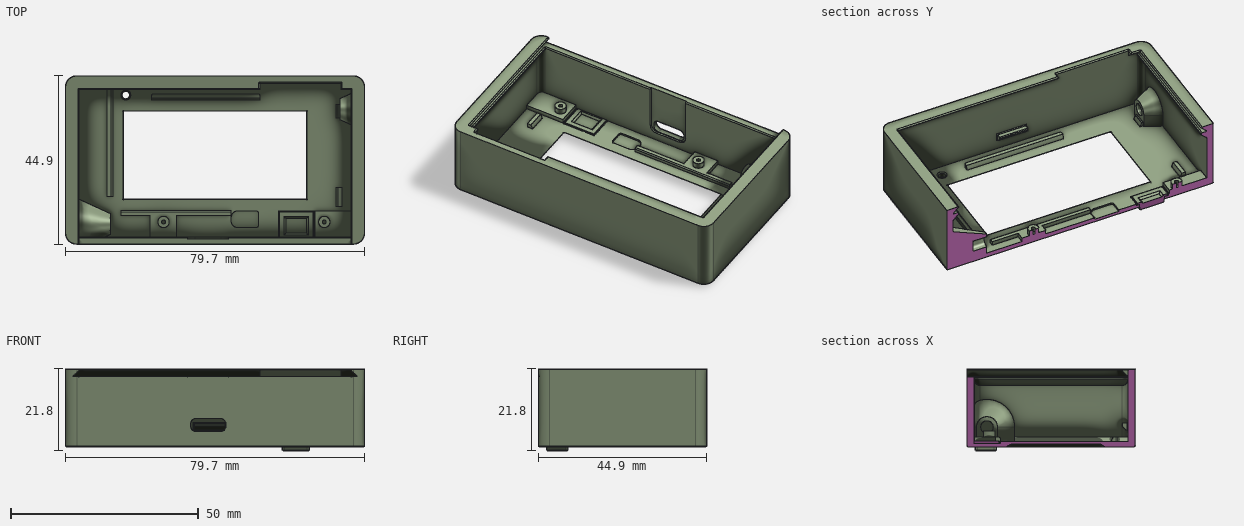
import cadquery as cq
length = 79.7
width = 44.9
height = 20.8
outer_radius = 3.0
wall = 2.0
floor = 1.5
cavity_radius = 1.5
edge_chamfer = 0.3
bevel_angle = 45

cavity_x = length / 2 - wall
cavity_y = width / 2 - wall

window_x = 48.8
window_y = 23.45
window_center_y = 1.3

dovetail_height = 1.7
slot_floor_z = height - edge_chamfer - dovetail_height
lip_x = cavity_x - dovetail_height
lip_y = cavity_y - dovetail_height
notch_x_min = 11.95
notch_x_max = 33.6
rail_edge_height = 0.7

port_x = -1.8
port_z = 5.9
port_length = 9.3
port_height = 3.6
port_radius = 1.5
port_recess_length = 10.9
port_recess_height = 4.0
port_recess_depth = 0.55

catch_x_min = -5.7
catch_x_max = 2.9
catch_top_z = 6.4
catch_depth = 1.6
catch_edge_height = 0.5
catch_bottom_z = 4.6
catch_chamfer = 0.2

rib_height = 1.2
rib_width = 1.6
rib_slope = 0.52
frame_left = -27.2
frame_right = 32.3
frame_back = 16.0
frame_front = -13.5
rib_end_radius = 0.5
back_rib_x_min = -16.9
back_rib_x_max = 11.95
front_rib_x_min = -25.1
front_rib_x_max = 4.2
front_rib_width = 1.35
left_rib_y_min = -9.7
right_ribs_y = [(11.2, 14.8), (-12.35, -7.3)]

boss_radius = 2.8
boss_axis_z = 5.35
boss_flare = 0.46
boss_hole_diameter = 3.35
boss_hole_depth = 4.0
left_boss_face_x = -27.9
left_boss_y = -17.1
right_boss_face_x = 33.25
right_boss_y = 13.55

leg_x_min = -17.4
leg_x_max = -10.2
pad_x_min = 26.6
pad_y_max = -13.55
post_diameter = 3.0
post_hole_diameter = 1.0
post_height = 1.6
post_y = -16.5
post_xs = [-13.7, 29.1]

pin_hole_x = -23.75
pin_hole_y = 17.3
pin_hole_diameter = 2.0
thumb_x_min = 4.3
thumb_x_max = 11.6
thumb_y_min = -18.0
thumb_left_radius = 1.75
thumb_right_radius = 0.6
recess_depth = 0.5

button_x = 21.5
button_y = -17.4
button_length = 7.3
button_width = 5.75
button_radius = 0.6
button_drop = 1.0
flange_x_min = 17.15
flange_x_max = 26.15
flange_thickness = 0.6
flange_gap = 0.2
dish_length = 6.5
dish_width = 4.95
dish_depth = 0.52
dish_x = 21.6
dish_y = -17.55


def box(x_min, x_max, y_min, y_max, z_min, z_max):
    """Return a plain block between the given limits."""
    size = (x_max - x_min, y_max - y_min, z_max - z_min)
    return cq.Workplane("XY").box(*size, centered=False).translate((x_min, y_min, z_min))


def tapered_block(x_min, x_max, y_min, y_max, z_min, block_height, taper):
    """Return a block whose four sides lean inwards by `taper` degrees as they rise."""
    return (
        cq.Workplane("XY", origin=((x_min + x_max) / 2, (y_min + y_max) / 2, z_min))
        .rect(x_max - x_min, y_max - y_min)
        .extrude(block_height, taper=taper)
    )


def make_shell():
    """Return the open box with its floor, window and outer bottom chamfer."""
    shell = (
        cq.Workplane("XY")
        .rect(length, width)
        .extrude(height)
        .edges("|Z")
        .fillet(outer_radius)
        .faces("<Z")
        .edges()
        .chamfer(edge_chamfer)
    )
    window = (
        cq.Workplane("XY", origin=(0, window_center_y, floor))
        .rect(window_x, window_y)
        .extrude(-floor, taper=-bevel_angle)
    )
    return shell.cut(make_cavity()).cut(window)


def make_cavity():
    """Return the space inside the walls, up to the floor of the lid slot."""
    return (
        cq.Workplane("XY", origin=(0, 0, floor))
        .rect(2 * cavity_x, 2 * cavity_y)
        .extrude(slot_floor_z - floor)
        .edges("|Z")
        .fillet(cavity_radius)
    )


def make_lid_slot():
    """Return the dovetail slot, its chamfered mouth and the notch in the back lip."""
    front = -width / 2 - 2 * dovetail_height
    lip_z = slot_floor_z + dovetail_height
    dovetail = tapered_block(
        -cavity_x, cavity_x, front, cavity_y, slot_floor_z, dovetail_height, bevel_angle
    )
    mouth = tapered_block(-lip_x, lip_x, front, lip_y, lip_z, edge_chamfer, -bevel_angle)
    notch = box(notch_x_min, notch_x_max, 0, cavity_y, slot_floor_z, height)
    notch_mouth = tapered_block(
        notch_x_min, notch_x_max, 0, cavity_y, lip_z, edge_chamfer, -bevel_angle
    )
    return dovetail.union(mouth).union(notch).union(notch_mouth)


def make_front_chamfer():
    """Return the wedge cut from the inner top edge of the front wall."""
    return (
        cq.Workplane("YZ", origin=(-lip_x, 0, 0))
        .polyline([
            (-cavity_y, slot_floor_z),
            (-cavity_y - edge_chamfer, slot_floor_z),
            (-cavity_y, slot_floor_z - edge_chamfer),
        ])
        .close()
        .extrude(2 * lip_x)
    )


def make_rail(side):
    """Return the lid rail on one end wall (side is -1 or 1), with a sloped underside."""
    bottom_z = slot_floor_z - rail_edge_height
    return (
        cq.Workplane("XZ", origin=(0, cavity_y, 0))
        .polyline([
            (side * cavity_x, slot_floor_z),
            (side * (lip_x + edge_chamfer), slot_floor_z),
            (side * lip_x, slot_floor_z - edge_chamfer),
            (side * lip_x, bottom_z),
            (side * cavity_x, bottom_z - dovetail_height),
        ])
        .close()
        .extrude(2 * cavity_y)
    )


def make_port():
    """Return the rounded port and the wider recess behind it, which is open at the top."""
    inner_y = -cavity_y
    opening = (
        cq.Workplane("XZ", origin=(port_x, inner_y, port_z))
        .rect(port_length, port_height)
        .extrude(wall)
        .edges("|Y")
        .fillet(port_radius)
    )
    recess = (
        cq.Workplane("XZ", origin=(port_x, inner_y, port_z))
        .slot2D(port_recess_length, port_recess_height)
        .extrude(port_recess_depth)
    )
    half = port_recess_length / 2
    channel = box(
        port_x - half, port_x + half, inner_y - port_recess_depth, inner_y, port_z, slot_floor_z
    )
    return opening.union(recess).union(channel)


def make_catch():
    """Return the catch on the back wall, with a sloped underside and chamfers at its root and tip."""
    tip_y = cavity_y - catch_depth
    tip_bottom_z = catch_top_z - catch_chamfer - catch_edge_height
    root_x_min = catch_x_min - catch_chamfer
    root_x_max = catch_x_max + catch_chamfer
    side_shape = (
        cq.Workplane("YZ", origin=(root_x_min, 0, 0))
        .polyline([
            (cavity_y, catch_top_z + catch_chamfer),
            (cavity_y - catch_chamfer, catch_top_z),
            (tip_y + catch_chamfer, catch_top_z),
            (tip_y, catch_top_z - catch_chamfer),
            (tip_y, tip_bottom_z),
            (tip_y + tip_bottom_z - catch_bottom_z, catch_bottom_z),
            (cavity_y - catch_chamfer, catch_bottom_z),
            (cavity_y, catch_bottom_z - catch_chamfer),
        ])
        .close()
        .extrude(root_x_max - root_x_min)
    )
    plan_shape = (
        cq.Workplane("XY")
        .polyline([
            (root_x_min, cavity_y),
            (catch_x_min, cavity_y - catch_chamfer),
            (catch_x_min, tip_y + catch_chamfer),
            (catch_x_min + catch_chamfer, tip_y),
            (catch_x_max - catch_chamfer, tip_y),
            (catch_x_max, tip_y + catch_chamfer),
            (catch_x_max, cavity_y - catch_chamfer),
            (root_x_max, cavity_y),
        ])
        .close()
        .extrude(height)
    )
    return side_shape.intersect(plan_shape)


def make_rib(rib_length, base_width, slope_run=rib_slope, slope_height=rib_height):
    """Return a rib along +X from the origin; its +Y face, at Y = 0, leans back near the top."""
    slope_z = rib_height - slope_height
    profile = box(0, rib_length, -base_width, 0, 0, rib_height)
    slope = (
        cq.Workplane("YZ")
        .polyline([(0, slope_z), (0, rib_height), (-slope_run, rib_height)])
        .close()
        .extrude(rib_length)
    )
    return profile.cut(slope)


def place_rib(rib, turn, x, y):
    """Turn a rib about Z and set its starting corner on the floor."""
    return rib.rotate((0, 0, 0), (0, 0, 1), turn).translate((x, y, floor))


def make_boss(face_x, axis_y, side):
    """Return a flared boss that grows towards one end wall and stands on the floor."""
    reach = cavity_x - side * face_x
    wall_radius = boss_radius + boss_flare * reach
    cone = cq.Workplane(
        cq.Solid.makeCone(
            boss_radius, wall_radius, reach,
            cq.Vector(face_x, axis_y, boss_axis_z), cq.Vector(side, 0, 0),
        )
    )
    foot = (
        cq.Workplane("XY", origin=(0, 0, floor))
        .polyline([
            (face_x, axis_y - boss_radius),
            (face_x, axis_y + boss_radius),
            (side * cavity_x, axis_y + wall_radius),
            (side * cavity_x, axis_y - wall_radius),
        ])
        .close()
        .extrude(boss_axis_z - floor)
    )
    return cone.union(foot).intersect(make_cavity())


def make_boss_hole(face_x, axis_y, side):
    """Return the blind screw hole of a boss."""
    return cq.Workplane(
        cq.Solid.makeCylinder(
            boss_hole_diameter / 2, boss_hole_depth,
            cq.Vector(face_x, axis_y, boss_axis_z), cq.Vector(side, 0, 0),
        )
    )


def make_ribs():
    """Return the five ribs around the window; the front one has only a small top chamfer."""
    back_rib = make_rib(back_rib_x_max - back_rib_x_min, rib_width).edges("|Z and <Y").fillet(rib_end_radius)
    front_rib = make_rib(front_rib_x_max - front_rib_x_min, front_rib_width, edge_chamfer, edge_chamfer)
    left_rib = make_rib(cavity_y - left_rib_y_min, rib_width)
    ribs = [
        place_rib(back_rib, 180, back_rib_x_max, frame_back),
        place_rib(front_rib, 0, front_rib_x_min, frame_front),
        place_rib(left_rib, -90, frame_left, cavity_y),
    ]
    for y_min, y_max in right_ribs_y:
        ribs.append(place_rib(make_rib(y_max - y_min, rib_width), 90, frame_right, y_min))
    return ribs


def make_button_hole():
    """Return the button's opening in the floor and the recess around its flange."""
    opening = make_button_stem()
    recess = box(
        flange_x_min - flange_gap, flange_x_max + flange_gap,
        -cavity_y, pad_y_max, floor - recess_depth, floor,
    )
    return opening.union(recess)


def make_thumb_recess():
    """Return the shallow floor recess, with larger corners on its left end."""
    return (
        box(thumb_x_min, thumb_x_max, thumb_y_min, pad_y_max, floor - recess_depth, floor)
        .edges("|Z and <X").fillet(thumb_left_radius)
        .edges("|Z and >X").fillet(thumb_right_radius)
    )


def make_pin_hole():
    """Return the through hole in the floor, countersunk from inside."""
    hole = cq.Workplane("XY").center(pin_hole_x, pin_hole_y).circle(pin_hole_diameter / 2).extrude(floor)
    countersink = (
        cq.Workplane("XY", origin=(pin_hole_x, pin_hole_y, floor - edge_chamfer))
        .circle(pin_hole_diameter / 2)
        .extrude(edge_chamfer, taper=-bevel_angle)
    )
    return hole.union(countersink)


def make_button_stem():
    """Return the rounded block of the button that passes through the floor."""
    return (
        cq.Workplane("XY", origin=(button_x, button_y, -button_drop))
        .rect(button_length, button_width)
        .extrude(button_drop + floor)
        .edges("|Z")
        .fillet(button_radius)
    )


def add_posts(case):
    """Add the raised leg and pad along the front, each with a drilled post."""
    pad_top = floor + rib_height
    leg = box(leg_x_min, leg_x_max, -cavity_y, frame_front - front_rib_width, floor, pad_top)
    pad = box(pad_x_min, cavity_x, -cavity_y, pad_y_max, floor, pad_top)
    case = case.union(leg).union(pad)
    for x in post_xs:
        base = cq.Workplane("XY", origin=(x, post_y, pad_top))
        case = case.union(base.circle(post_diameter / 2).extrude(post_height))
        case = case.cut(base.circle(post_hole_diameter / 2).extrude(post_height))
    return case


def make_case():
    """Return the whole case as one body."""
    case = make_shell().cut(make_lid_slot()).cut(make_front_chamfer())
    for side in (-1, 1):
        case = case.union(make_rail(side))
    bosses = [(left_boss_face_x, left_boss_y, -1), (right_boss_face_x, right_boss_y, 1)]
    for boss in bosses:
        case = case.union(make_boss(*boss))
    for rib in make_ribs():
        case = case.union(rib)
    case = add_posts(case).union(make_catch())
    for boss in bosses:
        case = case.cut(make_boss_hole(*boss))
    for opening in (make_port(), make_button_hole(), make_thumb_recess(), make_pin_hole()):
        case = case.cut(opening)
    return case.solids()


def make_button():
    """Return the button: a stem through the floor, a flange that holds it in and a dished top."""
    stem = make_button_stem().faces("<Z").edges().chamfer(edge_chamfer)
    flange_z = floor - recess_depth
    flange_top = flange_z + flange_thickness
    flange = box(flange_x_min, flange_x_max, -cavity_y, pad_y_max - flange_gap, flange_z, flange_top)
    dish = (
        cq.Workplane("XY", origin=(dish_x, dish_y, flange_top))
        .rect(dish_length, dish_width)
        .extrude(-dish_depth, taper=bevel_angle)
    )
    return stem.union(flange).cut(dish).solids()


case = make_case()
button = make_button()
result = cq.Compound.makeCompound([case.val(), button.val()])